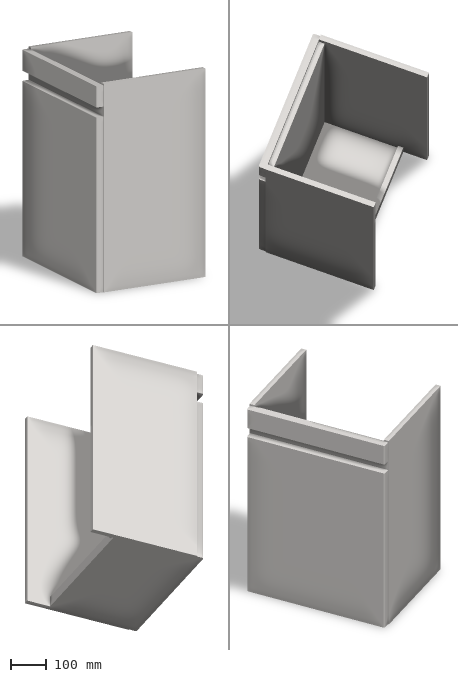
import cadquery as cq

width = 435.0
depth = 345.0
height = 605.0

board = 16.0
inner_width = width - 2 * board

front_thickness = 22.0
front_side_inset = 2.5
front_width = width - 2 * front_side_inset
front_edge_radius = 5.0
fascia_top_drop = 5.5
fascia_height = 61.0
grip_gap = 29.5
fascia_bottom = height - fascia_top_drop - fascia_height
door_height = fascia_bottom - grip_gap

carcass_front = front_thickness
side_depth = depth - front_thickness
front_board_thickness = 17.5
front_board_top_drop = 16.0
front_board_height = height - front_board_top_drop
floor_front = carcass_front + front_board_thickness
rear_setback = 71.0
floor_depth = depth - rear_setback - floor_front
rear_lip_height = 2 * board


def box(x, y, z, size_x, size_y, size_z):
    """Box whose corner with the lowest coordinates is at (x, y, z)."""
    return cq.Workplane("XY").box(size_x, size_y, size_z, centered=False).translate((x, y, z))


def make_side_panel(x):
    """Full-height side board with its left face at x."""
    return box(x, carcass_front, 0, board, side_depth, height)


def make_front_panel(bottom, panel_height):
    """Door or fascia board with rounded vertical front edges."""
    panel = box(front_side_inset, 0, bottom, front_width, front_thickness, panel_height)
    return panel.faces("<Y").edges("|Z").fillet(front_edge_radius)


def make_front_board():
    """Inner board behind the door and fascia, closing the gap between them."""
    return box(board, carcass_front, 0, inner_width, front_board_thickness, front_board_height)


def make_floor():
    """Floor board with an upright lip along its rear edge."""
    base = box(board, floor_front, 0, inner_width, floor_depth, board)
    lip_front = floor_front + floor_depth - board
    lip = box(board, lip_front, 0, inner_width, board, rear_lip_height)
    return base.union(lip)


side_panels = [make_side_panel(x) for x in (0, width - board)]
door = make_front_panel(0, door_height)
fascia = make_front_panel(fascia_bottom, fascia_height)
front_board = make_front_board()
floor = make_floor()

result = cq.Compound.makeCompound([
    *[panel.val() for panel in side_panels],
    door.val(),
    fascia.val(),
    front_board.val(),
    floor.val(),
])